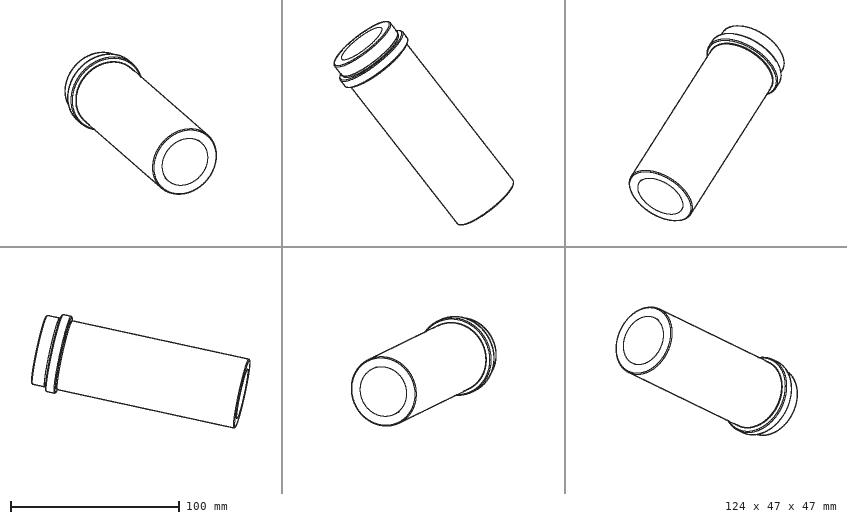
import cadquery as cq

length = 124.0
bore_diameter = 30.0
body_diameter = 42.0
flange_diameter = 47.0
flange_start = 9.0
flange_width = 6.0
flange_end = flange_start + flange_width

end_chamfer = 0.6
flange_chamfer = 0.6

groove_depth = 0.4
spigot_groove_width = 1.1
body_groove_width = 0.7


def cylinder(diameter, start, width):
    """Solid cylinder along X, beginning at the given X position."""
    return cq.Workplane("YZ", origin=(start, 0, 0)).circle(diameter / 2).extrude(width)


def relief_groove(start, width):
    """Ring that cuts a relief groove into the body surface."""
    groove_floor = cylinder(body_diameter - 2 * groove_depth, start, width)
    return cylinder(flange_diameter, start, width).cut(groove_floor)


body = cylinder(body_diameter, 0, length).edges().chamfer(end_chamfer)
body = body.cut(relief_groove(flange_start - spigot_groove_width, spigot_groove_width))
body = body.cut(relief_groove(flange_end, body_groove_width))

flange = cylinder(flange_diameter, flange_start, flange_width).edges().chamfer(flange_chamfer)
bore = cylinder(bore_diameter, 0, length)

result = body.union(flange).cut(bore)